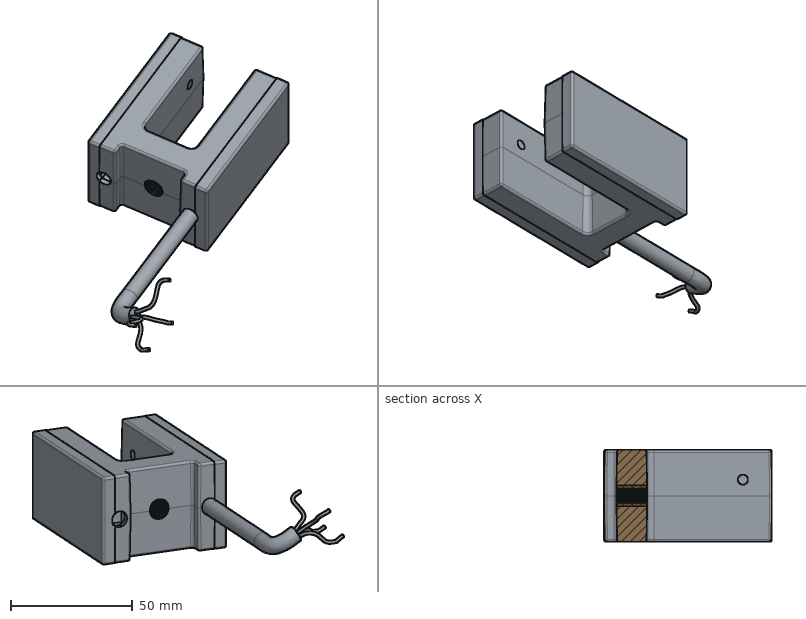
import cadquery as cq
import math


BLOCK_WIDTH = 56.5
BLOCK_LENGTH = 69.3
BLOCK_HEIGHT = 38.0
COVER_THICKNESS = 5.6
EDGE_RADIUS = 1.0
DRAFT_ANGLE = 1.0
HALF_HEIGHT = BLOCK_HEIGHT / 2
COVER_SEAM_X = BLOCK_WIDTH / 2 - COVER_THICKNESS

SLOT_WIDTH = 24.0
SLOT_FLOOR_Y = 17.9
SLOT_CORNER_RADIUS = 2.7
RECESS_WIDTH = 30.2
RECESS_DEPTH = 5.0

INSERT_DIAMETER = 8.6
COLLAR_DIAMETER = 7.3
COLLAR_LENGTH = 0.5
THREAD_MAJOR_DIAMETER = 6.0
THREAD_MINOR_DIAMETER = 4.9
THREAD_COUNT = 12
INSERT_LENGTH = SLOT_FLOOR_Y - RECESS_DEPTH
THREAD_PITCH = INSERT_LENGTH / THREAD_COUNT

CABLE_DIAMETER = 7.1
CABLE_X = 20.4
SPARE_BORE_DIAMETER = 6.8
SPARE_BORE_X = -20.5
END_WALL = 2.4

CHAMBER_DEPTH = 3.5
CHAMBER_FAR_TOP = 2.4

WINDOW_DIAMETER = 4.1
WINDOW_Y = 57.3
WINDOW_Z = 6.7
WINDOW_DEPTH = 3.0

CABLE_STRAIGHT = 50.8
BEND_TILT = math.radians(30.0)
BEND_RADIUS = 6.7
BEND_DROP = 12.9
BEND_REACH = 11.1

WIRE_DIAMETER = 1.5
UPPER_WIRE = [
    (1.6, 0.7, 0),
    (2.7, 1.2, 4.1),
    (4.0, 1.6, 7.1),
    (7.3, 3.3, 8.5),
    (10.8, 5.5, 8.6),
    (13.3, 7.0, 9.5),
    (14.2, 7.1, 11.7),
    (14.2, 7.0, 13.9),
]
MIRRORED_UPPER_WIRE = [(-side, up, forward) for side, up, forward in UPPER_WIRE]
NEAR_LOWER_WIRE = [
    (0.7, -1.3, 0),
    (1.3, -2.0, 4.1),
    (2.0, -3.5, 5.9),
    (3.7, -5.9, 7.3),
    (4.6, -7.4, 9.0),
    (4.6, -8.0, 13.0),
]
FAR_LOWER_WIRE = [
    (-1.3, -1.3, 0),
    (-3.8, -1.9, 4.6),
    (-5.9, -2.7, 5.8),
    (-9.8, -4.3, 6.2),
    (-13.0, -5.6, 7.3),
    (-14.2, -6.4, 9.3),
    (-14.2, -6.4, 13.5),
]
WIRES = [UPPER_WIRE, MIRRORED_UPPER_WIRE, NEAR_LOWER_WIRE, FAR_LOWER_WIRE]

SELECT_MARGIN = 0.7


def corner_zone(half_width, y):
    """Selector for whatever lies at the two mirrored corners (+-half_width, y)."""
    reach = half_width + SELECT_MARGIN
    return cq.selectors.BoxSelector(
        (-reach, y - SELECT_MARGIN, -HALF_HEIGHT),
        (reach, y + SELECT_MARGIN, HALF_HEIGHT - SELECT_MARGIN),
    )


def make_fork_half():
    """Upper half of the fork, drafted from the parting plane, with rounded edges."""
    half_slot = SLOT_WIDTH / 2
    half_recess = RECESS_WIDTH / 2
    half_block = BLOCK_WIDTH / 2
    right_side = [
        (half_recess, RECESS_DEPTH),
        (half_recess, 0),
        (half_block, 0),
        (half_block, BLOCK_LENGTH),
        (half_slot, BLOCK_LENGTH),
        (half_slot, SLOT_FLOOR_Y),
    ]
    left_side = [(-x, y) for x, y in reversed(right_side)]
    outline = right_side + left_side + right_side[:1]
    profile = cq.Sketch().polygon(outline)
    profile = profile.vertices(corner_zone(half_slot, SLOT_FLOOR_Y)).fillet(SLOT_CORNER_RADIUS).reset()
    profile = profile.vertices(corner_zone(half_recess, RECESS_DEPTH)).fillet(EDGE_RADIUS).reset()
    half = cq.Workplane("XY").placeSketch(profile).extrude(HALF_HEIGHT, taper=DRAFT_ANGLE)

    between_covers = cq.Workplane("XY").box(2 * COVER_SEAM_X, 3 * BLOCK_LENGTH, 2 * BLOCK_HEIGHT)
    half = half.intersect(between_covers)
    inside_seams = cq.selectors.BoxSelector(
        (SELECT_MARGIN - COVER_SEAM_X, -BLOCK_LENGTH, 0),
        (COVER_SEAM_X - SELECT_MARGIN, 2 * BLOCK_LENGTH, BLOCK_HEIGHT),
    )
    rim = half.faces(">Z").edges(inside_seams)
    upright_edges = half.edges("not #Z")
    leg_ends = upright_edges.edges(corner_zone(half_slot, BLOCK_LENGTH))
    recess_mouth = upright_edges.edges(corner_zone(half_recess, 0))
    rounded = rim.vals() + leg_ends.vals() + recess_mouth.vals()
    return half.newObject(rounded).fillet(EDGE_RADIUS)


def make_cover(side):
    """Flat cover on the right (1) or left (-1) of the fork."""
    slab = cq.Workplane("XY").box(COVER_THICKNESS, BLOCK_LENGTH, BLOCK_HEIGHT)
    slab = slab.edges("not <X").fillet(EDGE_RADIUS)
    slab = slab.translate((COVER_SEAM_X + COVER_THICKNESS / 2, BLOCK_LENGTH / 2, 0))
    return slab if side > 0 else slab.mirror("YZ")


def make_window_blank(side):
    """Round bar from the slot middle into a leg; its part inside the leg is the window."""
    blank = cq.Workplane("YZ", origin=(0, WINDOW_Y, WINDOW_Z)).circle(WINDOW_DIAMETER / 2)
    return blank.extrude(side * (SLOT_WIDTH / 2 + WINDOW_DEPTH))


def make_insert_blank():
    """Outer shape of the insert: a barrel with a short collar at each end."""
    collar = cq.Workplane("XZ", origin=(0, RECESS_DEPTH, 0)).circle(COLLAR_DIAMETER / 2)
    barrel = cq.Workplane("XZ", origin=(0, RECESS_DEPTH + COLLAR_LENGTH, 0)).circle(INSERT_DIAMETER / 2)
    barrel = barrel.extrude(-(INSERT_LENGTH - 2 * COLLAR_LENGTH))
    return collar.extrude(-INSERT_LENGTH).union(barrel)


def make_thread_core():
    """Revolved core with ring-shaped thread ridges, wide at both mouths."""
    major = THREAD_MAJOR_DIAMETER / 2
    minor = THREAD_MINOR_DIAMETER / 2
    ridges = [(major, RECESS_DEPTH)]
    for turn in range(THREAD_COUNT):
        start = RECESS_DEPTH + turn * THREAD_PITCH
        ridges.append((minor, start + THREAD_PITCH / 2))
        ridges.append((major, start + THREAD_PITCH))
    core = cq.Workplane("XY").polyline([(0, RECESS_DEPTH)] + ridges + [(0, SLOT_FLOOR_Y)]).close()
    return core.revolve(360, (0, 0, 0), (0, 1, 0))


def make_bore(x, diameter):
    """Round bore through the end wall."""
    return cq.Workplane("XZ", origin=(x, 0, 0)).circle(diameter / 2).extrude(-END_WALL)


def make_chamber():
    """Hollow behind the spare bore."""
    half_size = SPARE_BORE_DIAMETER / 2
    far_y = END_WALL + CHAMBER_DEPTH
    profile = [
        (END_WALL, -half_size),
        (END_WALL, half_size),
        (far_y, CHAMBER_FAR_TOP),
        (far_y, -half_size),
    ]
    section = cq.Workplane("YZ", origin=(SPARE_BORE_X, 0, 0)).polyline(profile).close()
    return section.extrude(half_size, both=True)


def make_wire(points, end_plane):
    """One loose wire that leaves the cable end straight and ends parallel to it."""
    centres = [end_plane.toWorldCoords(point) for point in points]
    curve = cq.Edge.makeSpline(centres, tangents=[end_plane.zDir, end_plane.zDir])
    path = cq.Workplane(cq.Wire.assembleEdges([curve]))
    section = cq.Workplane(end_plane).center(points[0][0], points[0][1]).circle(WIRE_DIAMETER / 2)
    return section.sweep(path)


def make_cable():
    """Straight cable, its tilted bend and the four wires at its end."""
    radius = CABLE_DIAMETER / 2
    straight = cq.Workplane("XZ", origin=(CABLE_X, END_WALL, 0)).circle(radius)
    cable = straight.extrude(CABLE_STRAIGHT + END_WALL)

    bend_plane = cq.Plane(
        origin=(CABLE_X, -CABLE_STRAIGHT, 0),
        xDir=(math.cos(BEND_TILT), 0, math.sin(BEND_TILT)),
        normal=(-math.sin(BEND_TILT), 0, math.cos(BEND_TILT)),
    )
    inset = BEND_RADIUS * (1 - math.sqrt(0.5))
    bend_points = [
        (0, 0),
        (0, BEND_RADIUS - BEND_DROP),
        (inset, inset - BEND_DROP),
        (BEND_RADIUS, -BEND_DROP),
        (BEND_REACH, -BEND_DROP),
    ]
    bend_path = cq.Workplane(bend_plane).spline(bend_points, tangents=[(0, -1), (1, 0)])
    bend_start = cq.Workplane("XZ", origin=(CABLE_X, -CABLE_STRAIGHT, 0)).circle(radius)
    cable = cable.union(bend_start.sweep(bend_path))

    end_plane = cq.Plane(
        origin=bend_plane.toWorldCoords((BEND_REACH, -BEND_DROP, 0)),
        xDir=(0, 1, 0),
        normal=bend_plane.xDir,
    )
    for points in WIRES:
        cable = cable.union(make_wire(points, end_plane))
    return cable


fork_half = make_fork_half()
housing = fork_half.union(fork_half.mirror("XY"))
covers = [make_cover(side) for side in (-1, 1)]

seam_cuts = [
    make_bore(CABLE_X, CABLE_DIAMETER),
    make_bore(SPARE_BORE_X, SPARE_BORE_DIAMETER),
    make_chamber(),
]
for cutter in seam_cuts:
    housing = housing.cut(cutter)
    covers = [cover.cut(cutter) for cover in covers]

windows = []
for side in (-1, 1):
    window_blank = make_window_blank(side)
    windows.append(window_blank.intersect(housing))
    housing = housing.cut(window_blank)

insert_blank = make_insert_blank()
housing = housing.cut(insert_blank)
insert = insert_blank.cut(make_thread_core())

cable = make_cable()

result = cq.Compound.makeCompound([
    housing.val(),
    *[cover.val() for cover in covers],
    *[window.val() for window in windows],
    insert.val(),
    cable.val(),
])